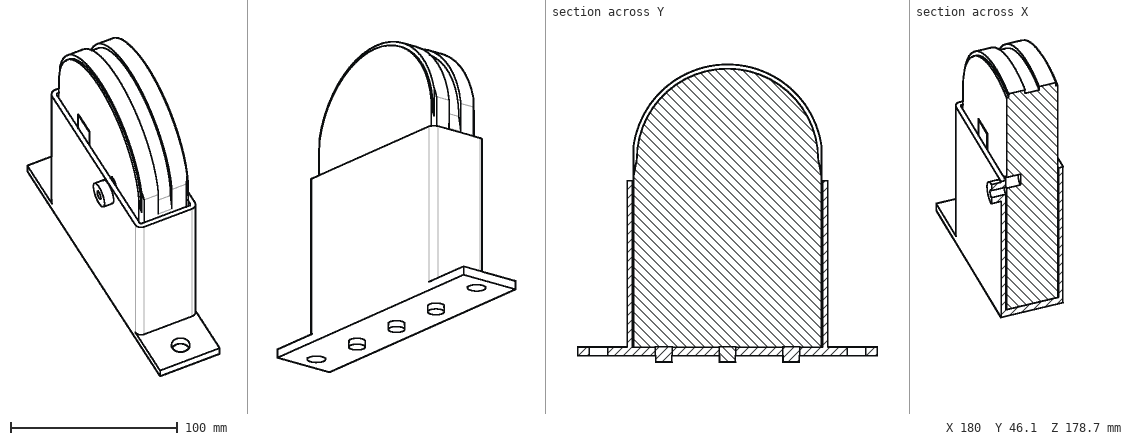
import cadquery as cq

PLATE_LENGTH = 180.0
PLATE_THICKNESS = 5.4
DEPTH = 40.0
MOUNT_HOLE_X = 77.4
MOUNT_HOLE_DIAMETER = 11.0

TUBE_LENGTH = 120.5
TUBE_HEIGHT = 99.7
WALL = 3.0
OUTER_CORNER_RADIUS = 4.0
INNER_CORNER_RADIUS = OUTER_CORNER_RADIUS - WALL
TUBE_TOP = PLATE_THICKNESS + TUBE_HEIGHT

BOSS_X = 19.6
BOSS_DROP = 8.1
BOSS_RADIUS = 7.5
BOSS_LENGTH = 6.1
BOSS_HOLE_RADIUS = 2.5
BOSS_Z = TUBE_TOP - BOSS_DROP

BLOCK_LENGTH = 113.0
BLOCK_DEPTH = 33.0
BLOCK_RISE = 69.8
SHOULDER_RISE = 20.5
BLOCK_CORNER_CHAMFER = 2.3
BLOCK_FLOOR = PLATE_THICKNESS
BLOCK_TOP = TUBE_TOP + BLOCK_RISE
SHOULDER_Z = TUBE_TOP + SHOULDER_RISE
CROWN_HEIGHT = BLOCK_TOP - SHOULDER_Z
CROWN_RADIUS = ((BLOCK_LENGTH / 2) ** 2 + CROWN_HEIGHT**2) / (2 * CROWN_HEIGHT)
CROWN_CENTER_Z = BLOCK_TOP - CROWN_RADIUS

RELIEF_DEPTH = 2.5
RUNOUT_HEIGHT = 10.3
GROOVE_WIDTH = 9.0
EDGE_STEP_WIDTH = 1.3

PIN_HOLE_DROP = 2.2
PIN_HOLE_RADIUS = 4.0
PIN_HOLE_DEPTH = 9.0

RECESS_SIZE = 15.1
RECESS_X = -20.9
RECESS_RISE = 10.8
RECESS_DEPTH = 0.4

STUD_PITCH = 38.2
STUD_COUNT = 3
STUD_DIAMETER = 9.9
STUD_PROTRUSION = 3.8
STUD_XS = [(i - (STUD_COUNT - 1) / 2) * STUD_PITCH for i in range(STUD_COUNT)]


def cylinder_along_y(x, z, radius, y_start, length):
    """Cylinder running from y_start toward +Y."""
    return cq.Workplane(
        cq.Solid.makeCylinder(radius, length, cq.Vector(x, y_start, z), cq.Vector(0, 1, 0))
    )


def rounded_bar(length, depth, height, corner_radius):
    """Upright bar with rounded corners, standing on the base plate."""
    return (
        cq.Workplane("XY", origin=(0, 0, PLATE_THICKNESS))
        .rect(length, depth)
        .extrude(height)
        .edges("|Z")
        .fillet(corner_radius)
    )


def make_housing():
    """Base plate, tube and boss as one solid, with all its holes."""
    plate = cq.Workplane("XY").rect(PLATE_LENGTH, DEPTH).extrude(PLATE_THICKNESS)
    tube = rounded_bar(TUBE_LENGTH, DEPTH, TUBE_HEIGHT, OUTER_CORNER_RADIUS)
    cavity = rounded_bar(
        TUBE_LENGTH - 2 * WALL, DEPTH - 2 * WALL, TUBE_HEIGHT, INNER_CORNER_RADIUS
    )
    boss_face_y = -DEPTH / 2 - BOSS_LENGTH
    boss = cylinder_along_y(BOSS_X, BOSS_Z, BOSS_RADIUS, boss_face_y, BOSS_LENGTH)
    boss_hole = cylinder_along_y(BOSS_X, BOSS_Z, BOSS_HOLE_RADIUS, boss_face_y, BOSS_LENGTH + WALL)
    mount_holes = (
        cq.Workplane("XY")
        .pushPoints([(-MOUNT_HOLE_X, 0), (MOUNT_HOLE_X, 0)])
        .circle(MOUNT_HOLE_DIAMETER / 2)
        .extrude(PLATE_THICKNESS)
    )
    stud_holes = (
        cq.Workplane("XY")
        .pushPoints([(x, 0) for x in STUD_XS])
        .circle(STUD_DIAMETER / 2)
        .extrude(PLATE_THICKNESS)
    )
    body = plate.union(tube).union(boss)
    return body.cut(cavity).cut(boss_hole).cut(mount_holes).cut(stud_holes)


def block_blank():
    """Round-topped block with chamfered upright corners."""
    half_length = BLOCK_LENGTH / 2
    outline = (
        cq.Workplane("XZ")
        .moveTo(-half_length, BLOCK_FLOOR)
        .lineTo(-half_length, SHOULDER_Z)
        .threePointArc((0, BLOCK_TOP), (half_length, SHOULDER_Z))
        .lineTo(half_length, BLOCK_FLOOR)
        .close()
        .extrude(BLOCK_DEPTH / 2, both=True)
    )
    envelope = (
        cq.Workplane("XY", origin=(0, 0, BLOCK_FLOOR))
        .rect(BLOCK_LENGTH, BLOCK_DEPTH)
        .extrude(BLOCK_TOP - BLOCK_FLOOR)
        .edges("|Z")
        .chamfer(BLOCK_CORNER_CHAMFER)
    )
    return outline.intersect(envelope)


def crown_relief(y_center, width):
    """Cutter that lowers the crown over a band of Y, with sloped ends at the sides."""
    half_length = BLOCK_LENGTH / 2
    floor_radius = CROWN_RADIUS - RELIEF_DEPTH
    runout_z = CROWN_CENTER_Z - RUNOUT_HEIGHT
    return (
        cq.Workplane("XZ", origin=(0, y_center, 0))
        .moveTo(-half_length, runout_z)
        .lineTo(-floor_radius, CROWN_CENTER_Z)
        .threePointArc((0, BLOCK_TOP - RELIEF_DEPTH), (floor_radius, CROWN_CENTER_Z))
        .lineTo(half_length, runout_z)
        .lineTo(half_length, BLOCK_TOP)
        .lineTo(-half_length, BLOCK_TOP)
        .close()
        .extrude(width / 2, both=True)
    )


def make_block():
    """Grooved and stepped block with its pin hole and recess."""
    front_y = -BLOCK_DEPTH / 2
    step_y = (BLOCK_DEPTH - EDGE_STEP_WIDTH) / 2
    pin_hole = cylinder_along_y(
        BOSS_X, TUBE_TOP - PIN_HOLE_DROP, PIN_HOLE_RADIUS, front_y, PIN_HOLE_DEPTH
    )
    recess = cq.Workplane("XY").box(RECESS_SIZE, RECESS_DEPTH, RECESS_SIZE).translate(
        (RECESS_X, front_y + RECESS_DEPTH / 2, TUBE_TOP + RECESS_RISE - RECESS_SIZE / 2)
    )
    block = block_blank().cut(crown_relief(0, GROOVE_WIDTH))
    for y in (-step_y, step_y):
        block = block.cut(crown_relief(y, EDGE_STEP_WIDTH))
    return block.cut(pin_hole).cut(recess)


def make_stud(x):
    """Stud flush with the housing floor and standing out below the plate."""
    return (
        cq.Workplane("XY", origin=(x, 0, -STUD_PROTRUSION))
        .circle(STUD_DIAMETER / 2)
        .extrude(STUD_PROTRUSION + PLATE_THICKNESS)
    )


housing = make_housing()
block = make_block()
studs = [make_stud(x) for x in STUD_XS]

result = cq.Compound.makeCompound([housing.val(), block.val(), *[stud.val() for stud in studs]])